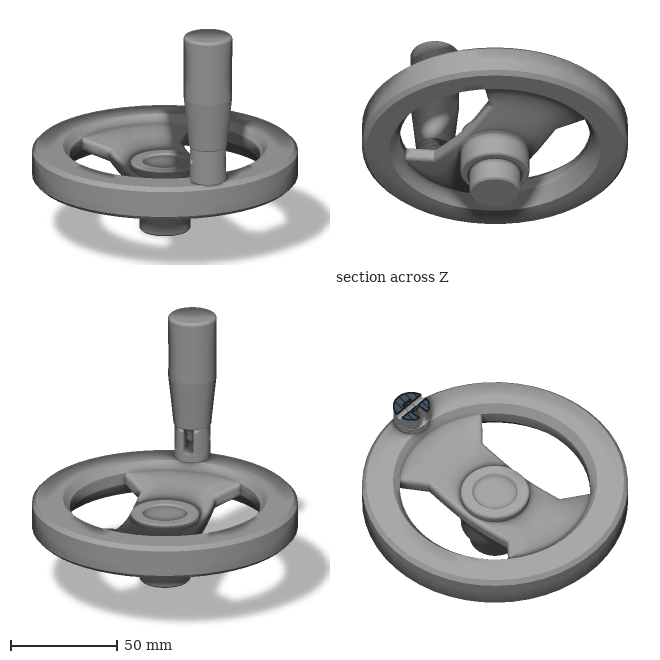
import cadquery as cq


RIM_RADIUS = 125.0 / 2
RIM_HEIGHT = 16.1
RIM_OUTER_CHAMFER = 1.9
RIM_BORE_RADIUS = 44.8
UPPER_BEVEL_WIDTH = 3.2
UPPER_BEVEL_DEPTH = 3.7
LOWER_BEVEL_WIDTH = 4.9
LOWER_BEVEL_DEPTH = 6.8

HUB_RADIUS = 32.3 / 2
HUB_TOP = 9.0
HUB_BOTTOM = -13.6
HUB_CHAMFER = 0.6
HUB_FLARE = 0.8
STUB_RADIUS = 23.9 / 2
STUB_BOTTOM = -24.8
STUB_CHAMFER = 0.8
RECESS_RADIUS = 10.9
RECESS_DEPTH = 0.9

WEB_TOP_AT_RIM = RIM_HEIGHT - UPPER_BEVEL_DEPTH
WEB_SLOPE = 0.24
WEB_THICKNESS = 6.7
WEB_OVERLAP = 1.0
WEB_OUTER_RADIUS = RIM_BORE_RADIUS + WEB_OVERLAP
WEB_HALF_WIDTH = 18.2
WEB_STRAIGHT_HALF_LENGTH = 25.1
WEB_EDGE_FILLET = 1.8

HANDLE_X = 54.0
GRIP_TOP = 87.7
GRIP_WAIST = 57.1
GRIP_BOTTOM = 32.8
GRIP_TOP_RADIUS = 22.9 / 2
GRIP_WAIST_RADIUS = 11.4
GRIP_BOTTOM_RADIUS = 8.8
GRIP_TOP_FILLET = 1.5
GRIP_BOTTOM_FILLET = 0.8

FORK_RADIUS = 17.0 / 2
COLLAR_TOP = 20.2
CUT_CLEARANCE = 1.3
COLLAR_CHAMFER = 0.4
GROOVE_HEIGHTS = (18.2, COLLAR_TOP, 28.7, 30.7)
GROOVE_WIDTH = 0.4
GROOVE_DEPTH = 0.1
FLAT_OFFSET = 7.5
FLAT_BEVEL_WIDTH = 1.0
FLAT_BEVEL_HEIGHT = 1.7
SLOT_WIDTH = 5.0
SLOT_BACK = 3.3
SLOT_SINK = 0.4

BLADE_RADIUS = 6.4 / 2
TONGUE_ROOT_RADIUS = 8.2 / 2
BLADE_THICKNESS = 4.2
TONGUE_SHOULDER = 29.3
PIVOT_Z = 26.6
PIVOT_HOLE_DIAMETER = 3.2


def revolve_profile(points):
    """Revolve a closed (radius, z) outline about the Z axis."""
    return cq.Workplane("XZ").polyline(points).close().revolve(360, (0, 0, 0), (0, 1, 0))


def web_top(radius):
    """Height of the conical web's upper face."""
    return WEB_TOP_AT_RIM - WEB_SLOPE * (RIM_BORE_RADIUS - radius)


def web_underside(radius):
    """Height of the conical web's lower face."""
    return web_top(radius) - WEB_THICKNESS


def make_rim():
    face_radius = RIM_RADIUS - RIM_OUTER_CHAMFER
    return revolve_profile([
        (RIM_BORE_RADIUS + LOWER_BEVEL_WIDTH, 0),
        (face_radius, 0),
        (RIM_RADIUS, RIM_OUTER_CHAMFER),
        (RIM_RADIUS, RIM_HEIGHT - RIM_OUTER_CHAMFER),
        (face_radius, RIM_HEIGHT),
        (RIM_BORE_RADIUS + UPPER_BEVEL_WIDTH, RIM_HEIGHT),
        (RIM_BORE_RADIUS, RIM_HEIGHT - UPPER_BEVEL_DEPTH),
        (RIM_BORE_RADIUS, LOWER_BEVEL_DEPTH),
    ])


def make_hub():
    flare_radius = HUB_RADIUS + HUB_FLARE
    return revolve_profile([
        (0, STUB_BOTTOM),
        (STUB_RADIUS - STUB_CHAMFER, STUB_BOTTOM),
        (STUB_RADIUS, STUB_BOTTOM + STUB_CHAMFER),
        (STUB_RADIUS, HUB_BOTTOM),
        (HUB_RADIUS - HUB_CHAMFER, HUB_BOTTOM),
        (HUB_RADIUS, HUB_BOTTOM + HUB_CHAMFER),
        (HUB_RADIUS, web_underside(flare_radius) - HUB_FLARE),
        (flare_radius, web_underside(flare_radius)),
        (HUB_RADIUS, web_underside(flare_radius) + HUB_FLARE),
        (HUB_RADIUS, HUB_TOP - HUB_CHAMFER),
        (HUB_RADIUS - HUB_CHAMFER, HUB_TOP),
        (RECESS_RADIUS, HUB_TOP),
        (RECESS_RADIUS - RECESS_DEPTH, HUB_TOP - RECESS_DEPTH),
        (0, HUB_TOP - RECESS_DEPTH),
    ])


def make_web():
    cone = revolve_profile([
        (0, web_top(0)),
        (WEB_OUTER_RADIUS, web_top(WEB_OUTER_RADIUS)),
        (WEB_OUTER_RADIUS, web_underside(WEB_OUTER_RADIUS)),
        (0, web_underside(0)),
    ])
    flare = WEB_OUTER_RADIUS - WEB_STRAIGHT_HALF_LENGTH
    flared_half_width = WEB_HALF_WIDTH + flare
    outline = [
        (WEB_STRAIGHT_HALF_LENGTH, WEB_HALF_WIDTH),
        (WEB_OUTER_RADIUS, flared_half_width),
        (WEB_OUTER_RADIUS, -flared_half_width),
        (WEB_STRAIGHT_HALF_LENGTH, -WEB_HALF_WIDTH),
        (-WEB_STRAIGHT_HALF_LENGTH, -WEB_HALF_WIDTH),
        (-WEB_OUTER_RADIUS, -flared_half_width),
        (-WEB_OUTER_RADIUS, flared_half_width),
        (-WEB_STRAIGHT_HALF_LENGTH, WEB_HALF_WIDTH),
    ]
    prism = cq.Workplane("XY").polyline(outline).close().extrude(2 * RIM_HEIGHT, both=True)
    web = cone.intersect(prism)
    long_edges = [
        edge for edge in web.edges().vals() if edge.geomType() not in ("CIRCLE", "LINE")
    ]
    return web.newObject(long_edges).fillet(WEB_EDGE_FILLET)


def make_handwheel():
    return make_rim().union(make_web()).union(make_hub())


def make_grip():
    grip = revolve_profile([
        (0, GRIP_BOTTOM),
        (GRIP_BOTTOM_RADIUS, GRIP_BOTTOM),
        (GRIP_WAIST_RADIUS, GRIP_WAIST),
        (GRIP_TOP_RADIUS, GRIP_TOP),
        (0, GRIP_TOP),
    ])
    return grip.faces(">Z").edges().fillet(GRIP_TOP_FILLET).faces("<Z").edges().fillet(GRIP_BOTTOM_FILLET)


def make_fork():
    fork = (
        cq.Workplane("XY", origin=(0, 0, RIM_HEIGHT)).circle(FORK_RADIUS).extrude(GRIP_BOTTOM - RIM_HEIGHT)
        .faces("<Z").edges().chamfer(COLLAR_CHAMFER)
    )
    for height in GROOVE_HEIGHTS:
        groove = (
            cq.Workplane("XY", origin=(0, 0, height - GROOVE_WIDTH / 2))
            .circle(FORK_RADIUS + CUT_CLEARANCE).circle(FORK_RADIUS - GROOVE_DEPTH).extrude(GROOVE_WIDTH)
        )
        fork = fork.cut(groove)

    flat = (
        cq.Workplane("XZ")
        .polyline([
            (-FORK_RADIUS - CUT_CLEARANCE, COLLAR_TOP),
            (-FLAT_OFFSET, COLLAR_TOP),
            (-FLAT_OFFSET, GRIP_BOTTOM - FLAT_BEVEL_HEIGHT),
            (-FLAT_OFFSET + FLAT_BEVEL_WIDTH, GRIP_BOTTOM),
            (-FORK_RADIUS - CUT_CLEARANCE, GRIP_BOTTOM),
        ])
        .close().extrude(FORK_RADIUS, both=True)
    )

    slot_radius = SLOT_WIDTH / 2
    slot_bottom = COLLAR_TOP - SLOT_SINK
    slot_center_z = slot_bottom + slot_radius
    slot = (
        cq.Workplane("YZ", origin=(-FLAT_OFFSET, 0, 0))
        .moveTo(-slot_radius, GRIP_BOTTOM)
        .lineTo(-slot_radius, slot_center_z)
        .threePointArc((0, slot_bottom), (slot_radius, slot_center_z))
        .lineTo(slot_radius, GRIP_BOTTOM)
        .close().extrude(FLAT_OFFSET + SLOT_BACK)
    )
    return fork.cut(flat).cut(slot)


def make_tongue():
    """Flat-sided blade with a spherical end, hanging from a thicker round root."""
    ball = cq.Workplane("XY", origin=(0, 0, PIVOT_Z)).sphere(BLADE_RADIUS)
    shank = cq.Workplane("XY", origin=(0, 0, PIVOT_Z)).circle(BLADE_RADIUS).extrude(TONGUE_SHOULDER - PIVOT_Z)
    slab = cq.Workplane("XY", origin=(0, 0, PIVOT_Z)).box(
        4 * BLADE_RADIUS, BLADE_THICKNESS, 4 * BLADE_RADIUS
    )
    root = (
        cq.Workplane("XY", origin=(0, 0, TONGUE_SHOULDER))
        .circle(TONGUE_ROOT_RADIUS).extrude(GRIP_BOTTOM - TONGUE_SHOULDER)
    )
    return ball.union(shank).intersect(slab).union(root)


def make_handle():
    pivot_hole = (
        cq.Workplane("XZ", origin=(0, 0, PIVOT_Z))
        .circle(PIVOT_HOLE_DIAMETER / 2).extrude(FORK_RADIUS + CUT_CLEARANCE, both=True)
    )
    handle = make_fork().union(make_tongue()).union(make_grip()).cut(pivot_hole)
    return handle.translate((HANDLE_X, 0, 0))


handwheel = make_handwheel()
handle = make_handle()
result = cq.Compound.makeCompound([handwheel.val(), handle.val()])